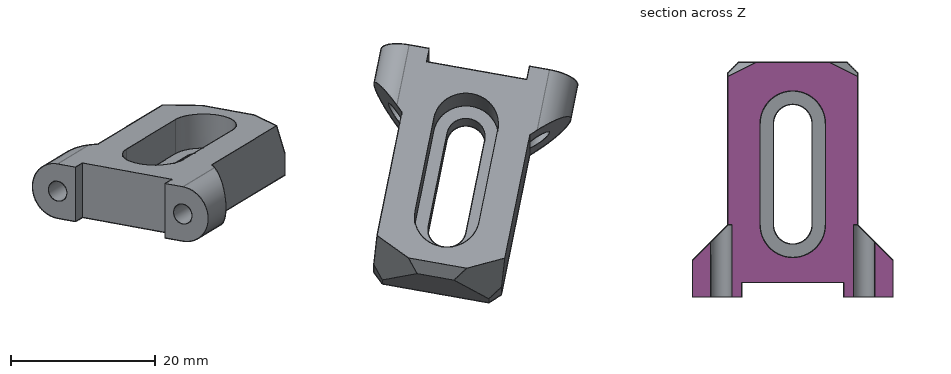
import cadquery as cq

body_width = 18.0
length = 32.5
thickness = 8.0

lug_span = 27.75
lug_reach = 10.0
lug_radius = thickness / 2
pin_spacing = lug_span - 2 * lug_radius
pin_diameter = 2.9
gap_width = 14.1
gap_depth = 2.0

slot_travel = 14.0
slot_width = 5.3
recess_width = 9.0
recess_depth = 5.0
slot_center_y = 17.0
slot_angle = 90

nose_bevel = 1.5
facet_along_side = 3.95
facet_across_top = 2 * facet_along_side
facet_down_corner = 2 * facet_along_side

half_width = body_width / 2
half_span = lug_span / 2


def make_body():
    """Plate with 45 degree nose corners."""
    plate = cq.Workplane("XY").box(body_width, length, thickness, centered=(True, False, False))
    return plate.edges("|Z and >Y").chamfer(nose_bevel)


def make_lugs():
    """Full-round bar with sloping back corners, spanning both lugs."""
    slope = half_span - half_width
    bar = (
        cq.Workplane("XZ", origin=(0, 0, thickness / 2))
        .slot2D(lug_span, thickness)
        .extrude(-lug_reach)
    )
    outline = (
        cq.Workplane("XY")
        .moveTo(-half_span, 0)
        .lineTo(half_span, 0)
        .lineTo(half_span, lug_reach - slope)
        .lineTo(half_width, lug_reach)
        .lineTo(-half_width, lug_reach)
        .lineTo(-half_span, lug_reach - slope)
        .close()
        .extrude(thickness)
    )
    return bar.intersect(outline)


def make_gap():
    """Shallow notch between the lugs."""
    return cq.Workplane("XY").box(gap_width, 2 * gap_depth, thickness, centered=(True, True, False))


def make_pin_holes():
    """Pin holes running from the lug faces to the back of the lugs."""
    return (
        cq.Workplane("XZ", origin=(0, 0, thickness / 2))
        .pushPoints([(-pin_spacing / 2, 0), (pin_spacing / 2, 0)])
        .circle(pin_diameter / 2)
        .extrude(-lug_reach)
    )


def make_slot(width, floor):
    """Round-ended slot from the given floor height up to the top face."""
    return (
        cq.Workplane("XY", origin=(0, slot_center_y, floor))
        .slot2D(slot_travel + width, width, slot_angle)
        .extrude(thickness - floor)
    )


def make_top_bevel():
    """Wedge removed along the top edge of the nose."""
    return (
        cq.Workplane("YZ", origin=(-half_width, 0, 0))
        .moveTo(length, thickness)
        .lineTo(length - nose_bevel, thickness)
        .lineTo(length, thickness - nose_bevel)
        .close()
        .extrude(body_width)
    )


def make_facet(side):
    """Tetrahedron removed from one upper nose corner; side is -1 or 1."""
    corner = cq.Vector(side * half_width, length, thickness)
    along_side = corner - cq.Vector(0, facet_along_side, 0)
    across_top = corner - cq.Vector(side * facet_across_top, 0, 0)
    down_corner = corner - cq.Vector(0, 0, facet_down_corner)
    triangles = [
        (corner, along_side, across_top),
        (corner, across_top, down_corner),
        (corner, down_corner, along_side),
        (along_side, across_top, down_corner),
    ]
    faces = [cq.Face.makeFromWires(cq.Wire.makePolygon(t, close=True)) for t in triangles]
    return cq.Workplane(cq.Solid.makeSolid(cq.Shell.makeShell(faces)))


result = make_body().union(make_lugs())
result = result.cut(make_gap()).cut(make_pin_holes())
result = result.cut(make_slot(slot_width, 0))
result = result.cut(make_slot(recess_width, thickness - recess_depth))
result = result.cut(make_top_bevel())
for side in (-1, 1):
    result = result.cut(make_facet(side))